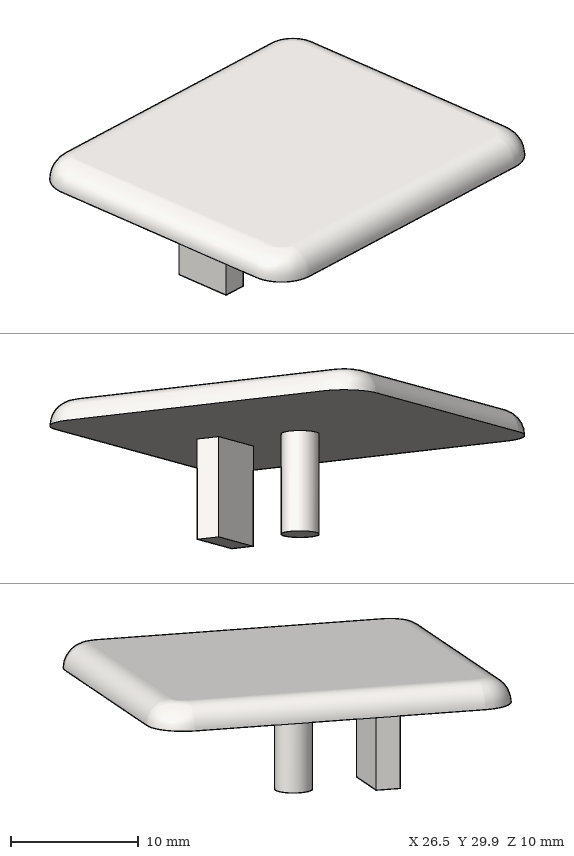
import cadquery as cq

plate_width = 26.5
plate_length = 29.9
plate_thickness = 2.0
corner_radius = 3.0
rim_height = 0.003
edge_radius = plate_thickness - rim_height

total_height = 10.0
leg_length = total_height - plate_thickness
leg_center_x = -1.75
pin_diameter = 3.0
pin_center_y = 0.05
tab_width = 5.0
tab_thickness = 2.0
tab_center_y = -6.95


def make_plate():
    """Rectangular plate with rounded corners and a rounded top edge."""
    plate = cq.Workplane("XY").rect(plate_width, plate_length).extrude(plate_thickness)
    plate = plate.edges("|Z").fillet(corner_radius)
    return plate.faces(">Z").edges().fillet(edge_radius)


def make_pin():
    """Round pin below the plate."""
    return cq.Workplane("XY").center(leg_center_x, pin_center_y).circle(pin_diameter / 2).extrude(-leg_length)


def make_tab():
    """Flat rectangular tab below the plate."""
    return cq.Workplane("XY").center(leg_center_x, tab_center_y).rect(tab_width, tab_thickness).extrude(-leg_length)


result = make_plate().union(make_pin()).union(make_tab())